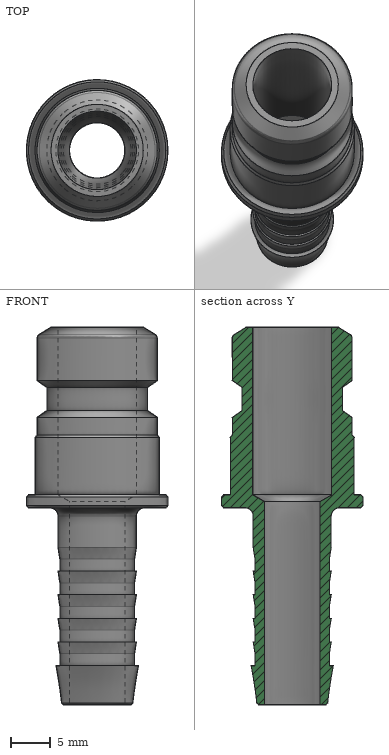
import cadquery as cq
import math

length = 48.0
flange_diameter = 18.0
edge_bevel = 0.3

plug_diameter = 15.25
plug_tip_diameter = 11.7
plug_tip_bevel_height = 1.1
plug_tip_round = 0.6
groove_diameter = 12.8
groove_top = 41.2
groove_bottom = 36.55
groove_wall_height = 0.85
body_diameter = 15.8
body_top = 34.25

flange_top = 26.7
flange_bottom = 25.0

tail_diameter = 10.0
tail_root_diameter = 9.5
tail_fillet = 1.0
ridge_count = 5
ridge_pitch = 3.0
ridge_height = 1.5
end_barb_top = 5.0
end_barb_diameter = 10.5
end_barb_tip_diameter = 9.05
end_barb_hollow = 0.05
end_bevel = 0.25

through_diameter = 7.0
wide_bore_diameter = 10.0
wide_bore_bottom = flange_top
bore_cone_slope = 30.0


def make_body():
    """Revolve the solid outer profile, drawn from the bottom end upward."""
    plug_r = plug_diameter / 2
    groove_r = groove_diameter / 2
    body_r = body_diameter / 2
    flange_r = flange_diameter / 2
    tail_r = tail_diameter / 2
    root_r = tail_root_diameter / 2
    tip_r = end_barb_tip_diameter / 2
    barb_r = end_barb_diameter / 2
    flank_middle_r = (tip_r + barb_r) / 2 - end_barb_hollow
    flank_middle_z = (end_bevel + end_barb_top) / 2

    profile = (
        cq.Workplane("XZ")
        .lineTo(tip_r - end_bevel, 0)
        .lineTo(tip_r, end_bevel)
        .threePointArc((flank_middle_r, flank_middle_z), (barb_r, end_barb_top))
        .lineTo(root_r, end_barb_top)
    )

    for ridge in range(1, ridge_count + 1):
        ridge_top = end_barb_top + ridge * ridge_pitch
        profile = profile.lineTo(root_r, ridge_top - ridge_height).lineTo(tail_r, ridge_top)
        if ridge < ridge_count:
            profile = profile.lineTo(root_r, ridge_top)

    fillet_diagonal = tail_fillet * (1 - math.sqrt(0.5))
    profile = (
        profile.lineTo(tail_r, flange_bottom - tail_fillet)
        .threePointArc(
            (tail_r + fillet_diagonal, flange_bottom - fillet_diagonal),
            (tail_r + tail_fillet, flange_bottom),
        )
        .lineTo(flange_r - edge_bevel, flange_bottom)
        .lineTo(flange_r, flange_bottom + edge_bevel)
        .lineTo(flange_r, flange_top - edge_bevel)
        .lineTo(flange_r - edge_bevel, flange_top)
        .lineTo(body_r, flange_top)
        .lineTo(body_r, body_top - edge_bevel)
        .lineTo(plug_r, body_top)
        .lineTo(plug_r, groove_bottom)
        .lineTo(groove_r, groove_bottom + groove_wall_height)
        .lineTo(groove_r, groove_top - groove_wall_height)
        .lineTo(plug_r, groove_top)
        .lineTo(plug_r, length - plug_tip_bevel_height)
        .lineTo(plug_tip_diameter / 2, length)
        .lineTo(0, length)
        .close()
    )
    body = profile.revolve(360, (0, 0, 0), (0, 1, 0))

    tip_edge = cq.selectors.BoxSelector(
        (-plug_r, -plug_r, length - plug_tip_bevel_height - edge_bevel),
        (plug_r, plug_r, length - plug_tip_bevel_height + edge_bevel),
    )
    return body.edges("%CIRCLE").edges(tip_edge).fillet(plug_tip_round)


def make_bore():
    """Wide bore from the top, narrowing through a cone to the through hole."""
    through_r = through_diameter / 2
    wide_r = wide_bore_diameter / 2
    cone_height = (wide_r - through_r) * math.tan(math.radians(bore_cone_slope))
    return (
        cq.Workplane("XZ")
        .lineTo(through_r, 0)
        .lineTo(through_r, wide_bore_bottom - cone_height)
        .lineTo(wide_r, wide_bore_bottom)
        .lineTo(wide_r, length)
        .lineTo(0, length)
        .close()
        .revolve(360, (0, 0, 0), (0, 1, 0))
    )


result = make_body().cut(make_bore())